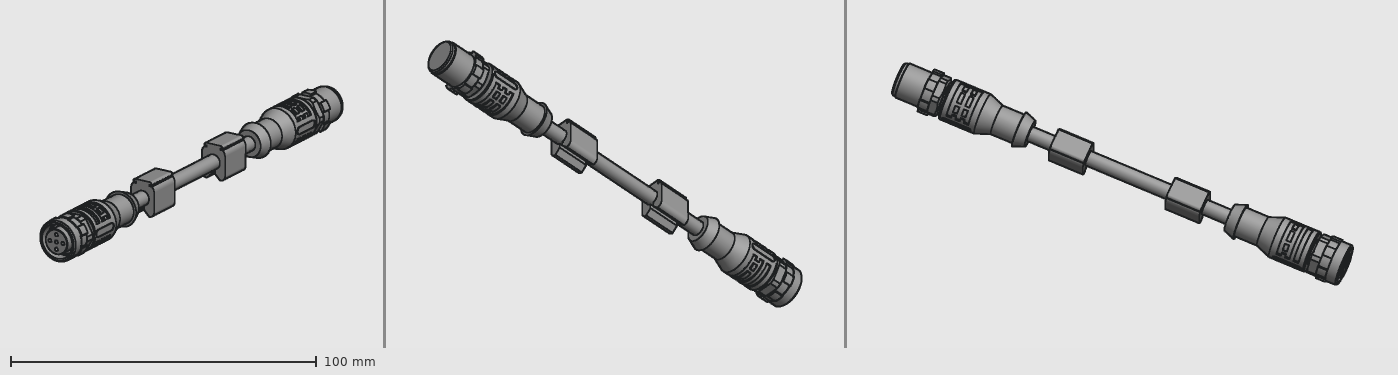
import cadquery as cq
import math

overall_length = 160.0
cable_diameter = 5.1

grip_diameter = 14.0
grip_bevel_length = 0.5
grip_bevel_depth = 0.2
grip_body_end = 12.6
taper_end = 17.8
barb_start = 25.8
grip_length = 29.6
waist_diameter = 10.2
barb_diameter = 12.2
barb_end_diameter = 9.3

channel_ranges = [(2.4, 4.2), (5.6, 7.2), (8.6, 10.2)]
texture_half_angle = 64.0
texture_depth = 0.56
groove_angles = [-49.0, -20.0, 20.0, 49.0]
groove_half_angle = 5.0

thumb_start = 1.1
thumb_length = 10.2
thumb_width = 2.5
thumb_floor_x = 6.7

neck_diameter = 8.6
neck_length = 1.0
hex_length = 3.2
hex_across_flats = 12.8
hex_corner_diameter = 14.0
plug_hex_chamfer = 0.6
collar_length = 3.4
collar_diameter = 13.5
hex_turn_angle = 30
rib_count = 6
rib_top_diameter = 14.9
rib_half_angle = 13.2
nut_length = neck_length + hex_length + collar_length

sleeve_diameter = 12.2
sleeve_length = 10.0
sleeve_lead_diameter = 11.5
sleeve_lead_length = 1.5
sleeve_lead_step = 0.2
sleeve_tip_chamfer = 0.5

shell_diameter = 14.0
shell_length = 4.0
shell_chamfer = 0.5
shell_bore_diameter = 11.8
shell_bore_depth = 4.0
carrier_diameter = 8.6
carrier_chamfer = 0.2
carrier_projection = 0.5
seal_outer_diameter = 10.5
contact_hole_diameter = 1.15
contact_hole_depth = 3.2
contact_circle_radius = 2.5
outer_contact_count = 4

clip_length = 12.2
clip_centers_y = [18.2, -23.4]
clip_width = 9.1
clip_half_width = clip_width / 2
clip_half_height = 6.0
clip_side_top = 2.7
clip_side_bottom = -4.2
plate_half_width = 3.7
plate_bottom = 5.1
plate_corner_radius = 1.0
plate_groove_height = 0.5
plate_neck_half_width = 2.7
throat_half_gap = 0.6
throat_bottom = -4.2


def revolve_about_y(points):
    """Solid of revolution about Y from (radius, y) points."""
    return cq.Workplane("XY").polyline(points).close().revolve(360, (0, 0, 0), (0, 1, 0))


def rod(diameter, start, end):
    """Round bar on the Y axis."""
    return cq.Workplane("XZ", origin=(0, start, 0)).circle(diameter / 2).extrude(start - end)


def ring_sector(inner_radius, outer_radius, mid_angle, half_angle, start, end):
    """Block between two radii and two angles, running along Y; angles are measured from +X to +Z."""

    def polar(radius, offset):
        angle = math.radians(mid_angle + offset)
        return (radius * math.cos(angle), radius * math.sin(angle))

    return (
        cq.Workplane("XZ", origin=(0, start, 0))
        .moveTo(*polar(inner_radius, -half_angle))
        .lineTo(*polar(outer_radius, -half_angle))
        .threePointArc(polar(outer_radius, 0), polar(outer_radius, half_angle))
        .lineTo(*polar(inner_radius, half_angle))
        .threePointArc(polar(inner_radius, 0), polar(inner_radius, -half_angle))
        .close()
        .extrude(start - end)
    )


def grip(first_padded_channel):
    """Moulded grip from y = 0 towards +Y; pads fill the texture from the given channel onwards."""
    body_radius = grip_diameter / 2
    waist_radius = waist_diameter / 2
    body = revolve_about_y([
        (0, 0),
        (body_radius - grip_bevel_depth, 0),
        (body_radius, grip_bevel_length),
        (body_radius, grip_body_end),
        (waist_radius, taper_end),
        (waist_radius, barb_start),
        (barb_diameter / 2, barb_start),
        (barb_end_diameter / 2, grip_length),
        (0, grip_length),
    ])

    floor_radius = body_radius - texture_depth
    cut_radius = body_radius + texture_depth
    groove_start = channel_ranges[first_padded_channel][0]
    groove_end = channel_ranges[-1][1]
    for side_angle in (90, -90):
        for start, end in channel_ranges:
            body = body.cut(
                ring_sector(floor_radius, cut_radius, side_angle, texture_half_angle, start, end)
            )
        for groove_angle in groove_angles:
            angle = side_angle + groove_angle
            body = body.cut(
                ring_sector(floor_radius, cut_radius, angle, groove_half_angle, groove_start, groove_end)
            )

    thumb_recess = (
        cq.Workplane("XY", origin=(0, thumb_start + thumb_length / 2, 0))
        .transformed(rotate=(0, 90, 0))
        .slot2D(thumb_length, thumb_width, 90)
        .extrude(body_radius)
        .translate((thumb_floor_x, 0, 0))
    )
    return body.cut(thumb_recess).cut(thumb_recess.mirror("YZ"))


def coupling_nut(hex_chamfer):
    """Neck, hexagon with flats facing up and down, and ribbed collar, from y = 0 towards -Y."""
    hex_back = -neck_length
    hex_front = hex_back - hex_length
    collar_front = hex_front - collar_length

    hexagon = (
        cq.Workplane("XZ", origin=(0, hex_back, 0))
        .polygon(6, hex_across_flats, circumscribed=True)
        .extrude(hex_length)
        .rotate((0, 0, 0), (0, 1, 0), hex_turn_angle)
    )
    hex_envelope = rod(hex_corner_diameter, hex_front, hex_back)
    if hex_chamfer > 0:
        hex_envelope = hex_envelope.faces(">Y").chamfer(hex_chamfer, 2 * hex_chamfer)

    nut = rod(neck_diameter, hex_front, 0)
    nut = nut.union(hexagon.intersect(hex_envelope))
    nut = nut.union(rod(collar_diameter, collar_front, hex_front))
    for index in range(rib_count):
        angle = 90 + index * 360 / rib_count
        rib = ring_sector(
            neck_diameter / 2, rib_top_diameter / 2, angle, rib_half_angle, collar_front, hex_front
        )
        nut = nut.union(rib)
    return nut


def plug_sleeve():
    """Threaded sleeve in front of the plug's collar, with a reduced, chamfered lead-in at its tip."""
    tip = -nut_length - sleeve_length
    radius = sleeve_diameter / 2
    lead_radius = sleeve_lead_diameter / 2
    return revolve_about_y([
        (0, -nut_length),
        (radius, -nut_length),
        (radius, tip + sleeve_lead_length + sleeve_lead_step),
        (lead_radius, tip + sleeve_lead_length),
        (lead_radius, tip + sleeve_tip_chamfer),
        (lead_radius - sleeve_tip_chamfer, tip),
        (0, tip),
    ])


def socket_front():
    """Hollow shell in front of the socket's collar, with the contact carrier and its seal inside."""
    shell_tip = -nut_length - shell_length
    bore_floor = shell_tip + shell_bore_depth
    carrier_face = shell_tip - carrier_projection
    shell = rod(shell_diameter, shell_tip, -nut_length).faces("<Y").chamfer(shell_chamfer)
    shell = shell.cut(rod(shell_bore_diameter, shell_tip, bore_floor))

    carrier = rod(carrier_diameter, carrier_face, bore_floor).faces("<Y").chamfer(carrier_chamfer)
    contact_hole = rod(contact_hole_diameter, carrier_face, carrier_face + contact_hole_depth)
    carrier = carrier.cut(contact_hole)
    outer_hole = contact_hole.translate((contact_circle_radius, 0, 0))
    for index in range(outer_contact_count):
        angle = index * 360 / outer_contact_count
        carrier = carrier.cut(outer_hole.rotate((0, 0, 0), (0, 1, 0), angle))

    seal_thickness = (seal_outer_diameter - carrier_diameter) / 2
    seal_center_radius = (seal_outer_diameter - seal_thickness) / 2
    seal = (
        cq.Workplane("XY")
        .center(seal_center_radius, bore_floor)
        .circle(seal_thickness / 2)
        .revolve(360, (-seal_center_radius, 0, 0), (-seal_center_radius, 1, 0))
    )
    return shell.union(carrier).union(seal)


def label_clip(center_y):
    """Snap-on clip, open below the cable, with a grooved-off label plate along its top."""
    groove_bottom = plate_bottom - plate_groove_height
    plate_flat = plate_half_width - plate_corner_radius
    leg_tip_radius = clip_side_bottom + clip_half_height
    leg_tip_start = clip_half_width - leg_tip_radius
    diagonal = math.sqrt(0.5)
    plate_arc_middle = (
        plate_flat + plate_corner_radius * diagonal,
        clip_half_height - plate_corner_radius * (1 - diagonal),
    )
    shoulder_rise = groove_bottom - clip_side_top
    shoulder_run = clip_half_width - plate_half_width
    shoulder_radius = (shoulder_rise**2 + shoulder_run**2) / (2 * shoulder_run)
    shoulder_angle = math.asin(shoulder_rise / shoulder_radius) / 2
    shoulder_middle = (
        clip_half_width - shoulder_radius * (1 - math.cos(shoulder_angle)),
        clip_side_top + shoulder_radius * math.sin(shoulder_angle),
    )
    leg_arc_middle = (
        leg_tip_start + leg_tip_radius * diagonal,
        clip_side_bottom - leg_tip_radius * diagonal,
    )

    half = (
        cq.Workplane("XZ", origin=(0, center_y - clip_length / 2, 0))
        .moveTo(0, clip_half_height)
        .lineTo(plate_flat, clip_half_height)
        .threePointArc(plate_arc_middle, (plate_half_width, plate_bottom))
        .lineTo(plate_neck_half_width, plate_bottom)
        .lineTo(plate_neck_half_width, groove_bottom)
        .lineTo(plate_half_width, groove_bottom)
        .threePointArc(shoulder_middle, (clip_half_width, clip_side_top))
        .lineTo(clip_half_width, clip_side_bottom)
        .threePointArc(leg_arc_middle, (leg_tip_start, -clip_half_height))
        .lineTo(throat_half_gap, throat_bottom)
        .lineTo(throat_half_gap, 0)
        .lineTo(0, 0)
        .close()
        .extrude(-clip_length)
    )
    return half.union(half.mirror("YZ"))


plug = grip(0).union(coupling_nut(plug_hex_chamfer)).union(plug_sleeve())
plug_length = nut_length + sleeve_length
plug_grip_y = overall_length / 2 - plug_length
plug = plug.rotate((0, 0, 0), (0, 0, 1), 180).translate((0, plug_grip_y, 0))

socket = grip(1).union(coupling_nut(0)).union(socket_front())
socket_length = nut_length + shell_length + carrier_projection
socket_grip_y = socket_length - overall_length / 2
socket = socket.translate((0, socket_grip_y, 0))

cable_overlap = 1.6
cable_start = socket_grip_y + grip_length - cable_overlap
cable_end = plug_grip_y - grip_length + cable_overlap

result = rod(cable_diameter, cable_start, cable_end)
for clip_y in clip_centers_y:
    result = result.union(label_clip(clip_y))
result = result.union(plug).union(socket)